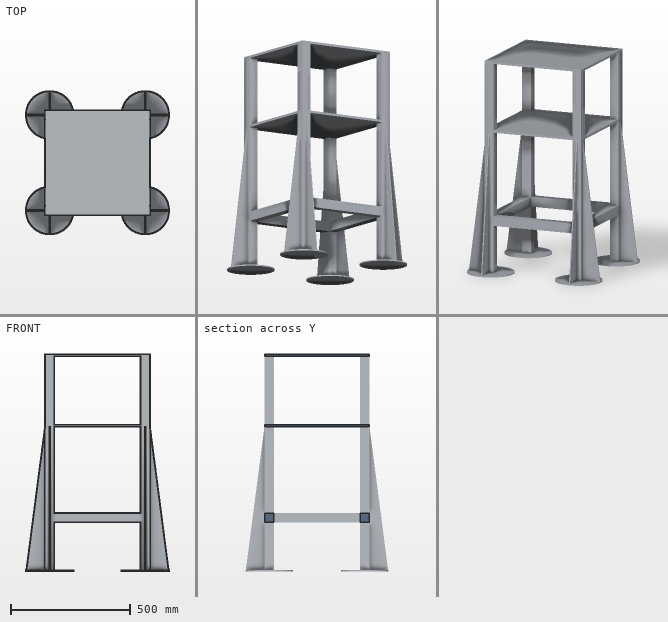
import cadquery as cq

leg_spacing = 400.0
leg_width = 40.0
leg_offset = leg_spacing / 2
frame_width = leg_spacing + leg_width

foot_radius = 100.0
foot_thickness = 5.0
gusset_thickness = 5.0
gusset_height = 600.0
gusset_rim_inset = 2.0
gusset_reach = foot_radius - leg_width / 2 - gusset_rim_inset

total_height = 910.0
top_thickness = 10.0
top_bottom = total_height - top_thickness
shelf_thickness = 10.0
shelf_bottom = foot_thickness + gusset_height
rail_height = 40.0
rail_clearance = 200.0
rail_bottom = foot_thickness + rail_clearance

leg_centres = [(x, y) for x in (-leg_offset, leg_offset) for y in (-leg_offset, leg_offset)]


def square_plate(width, bottom, thickness):
    """Horizontal square plate centred on the Z axis."""
    return cq.Workplane("XY").workplane(offset=bottom).rect(width, width).extrude(thickness)


def feet():
    """Round floor disc under each leg."""
    return cq.Workplane("XY").pushPoints(leg_centres).circle(foot_radius).extrude(foot_thickness)


def legs():
    """Four posts running from the feet to the underside of the top plate."""
    return (
        cq.Workplane("XY")
        .workplane(offset=foot_thickness)
        .pushPoints(leg_centres)
        .rect(leg_width, leg_width)
        .extrude(top_bottom - foot_thickness)
    )


def rails():
    """Square ring of rails flush with the outer faces of the legs."""
    opening_width = frame_width - 2 * leg_width
    ring = square_plate(frame_width, rail_bottom, rail_height)
    return ring.cut(square_plate(opening_width, rail_bottom, rail_height))


def outward_gusset(side):
    """Triangular gusset growing in +X from the outer face of the leg at Y = side."""
    leg_face = frame_width / 2
    gusset = (
        cq.Workplane("XZ")
        .moveTo(leg_face, foot_thickness)
        .lineTo(leg_face + gusset_reach, foot_thickness)
        .lineTo(leg_face, foot_thickness + gusset_height)
        .close()
        .extrude(gusset_thickness / 2, both=True)
    )
    return gusset.translate((0, side, 0))


shelf = square_plate(frame_width, shelf_bottom, shelf_thickness)
top_plate = square_plate(frame_width, top_bottom, top_thickness)
result = feet().union(legs()).union(rails()).union(shelf).union(top_plate)

for quarter_turn in (0, 90, 180, 270):
    for side in (-leg_offset, leg_offset):
        gusset = outward_gusset(side).rotate((0, 0, 0), (0, 0, 1), quarter_turn)
        result = result.union(gusset)